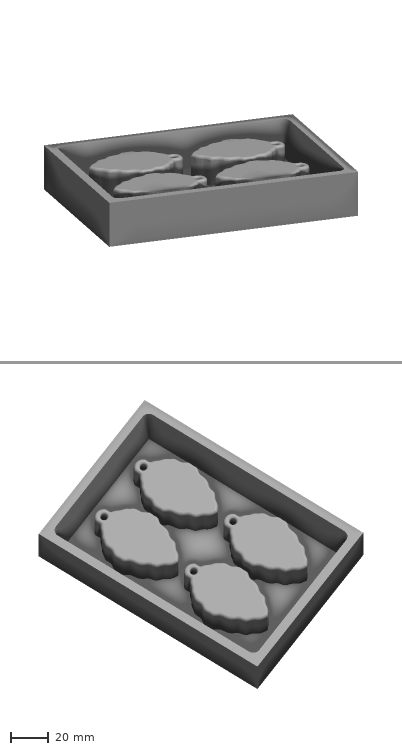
import cadquery as cq
import math

TRAY_X = 100.0
TRAY_Y = 143.0
TRAY_Z = 25.0
RIM_WIDTH = 5.0
FLOOR_THICKNESS = 5.0
POCKET_DRAFT = 12.0
POCKET_CORNER_RADIUS = 4.0
POCKET_DEPTH = TRAY_Z - FLOOR_THICKNESS

PENDANT_HEIGHT = 16.0
PENDANT_EDGE_RADIUS = 1.6
PITCH_X = 37.2
PITCH_Y = 58.6
ARRAY_CENTER = (-0.9, -1.1)

TAB_RADIUS = 5.1
TAB_HALF_WIDTH = 4.7
HOLE_Y = 21.9
HOLE_DIAMETER = 3.6
HOLE_EDGE_RADIUS = 1.22

TAB_SIDE_END = (-TAB_HALF_WIDTH, 21.5)
TAB_SIDE_HEADING = 270
LEAF_STRETCHES = [
    ([(-5.7, 20.2), (-7.2, 19.0), (-8.2, 17.9)], 225),
    ([(-10.0, 16.3)], 210),
    ([(-11.9, 14.3)], 238),
    ([(-13.0, 12.7)], 228),
    ([(-14.0, 11.2), (-14.3, 8.3)], 268),
    ([(-15.3, 5.6)], 235),
    ([(-16.5, 3.6), (-16.5, 0.3), (-15.3, -3.7)], 315),
    ([(-14.0, -6.3)], 280),
    ([(-13.5, -9.9), (-11.5, -13.2)], 315),
    ([(-9.9, -16.2)], 280),
    ([(-9.2, -18.6), (-7.0, -20.5)], 320),
    ([(-5.3, -22.5)], 300),
    ([(-3.7, -24.5), (0, -26.6)], 332),
]


def make_tray():
    pocket = (
        cq.Workplane("XY", origin=(0, 0, TRAY_Z))
        .sketch()
        .rect(TRAY_X - 2 * RIM_WIDTH, TRAY_Y - 2 * RIM_WIDTH)
        .vertices()
        .fillet(POCKET_CORNER_RADIUS)
        .finalize()
        .extrude(-POCKET_DEPTH, taper=POCKET_DRAFT)
    )
    block = cq.Workplane("XY").box(TRAY_X, TRAY_Y, TRAY_Z, centered=(True, True, False))
    return block.cut(pocket)


def direction(heading):
    angle = math.radians(heading)
    return (math.cos(angle), math.sin(angle))


def make_pendant():
    tab_arc_end_y = HOLE_Y + math.sqrt(TAB_RADIUS**2 - TAB_HALF_WIDTH**2)
    half_outline = (
        cq.Workplane("XY")
        .moveTo(0, HOLE_Y + TAB_RADIUS)
        .radiusArc((-TAB_HALF_WIDTH, tab_arc_end_y), -TAB_RADIUS)
        .lineTo(*TAB_SIDE_END)
    )
    start_heading = TAB_SIDE_HEADING
    for points, end_heading in LEAF_STRETCHES:
        tangents = [direction(start_heading), direction(end_heading)]
        half_outline = half_outline.spline(points, tangents=tangents, includeCurrent=True)
        start_heading = end_heading
    leaf = half_outline.mirrorY().extrude(PENDANT_HEIGHT)
    leaf = leaf.faces(">Z").edges().fillet(PENDANT_EDGE_RADIUS)
    hole = cq.Workplane("XY").center(0, HOLE_Y).circle(HOLE_DIAMETER / 2).extrude(PENDANT_HEIGHT)
    leaf = leaf.cut(hole)
    hole_rim = cq.selectors.RadiusNthSelector(0)
    return leaf.faces(">Z").edges(hole_rim).fillet(HOLE_EDGE_RADIUS)


tray = make_tray()

pendant = make_pendant()
pendants = []
for side_x in (-1, 1):
    for side_y in (-1, 1):
        x = ARRAY_CENTER[0] + side_x * PITCH_X / 2
        y = ARRAY_CENTER[1] + side_y * PITCH_Y / 2
        pendants.append(pendant.translate((x, y, FLOOR_THICKNESS)).val())

result = cq.Compound.makeCompound([tray.val(), *pendants])